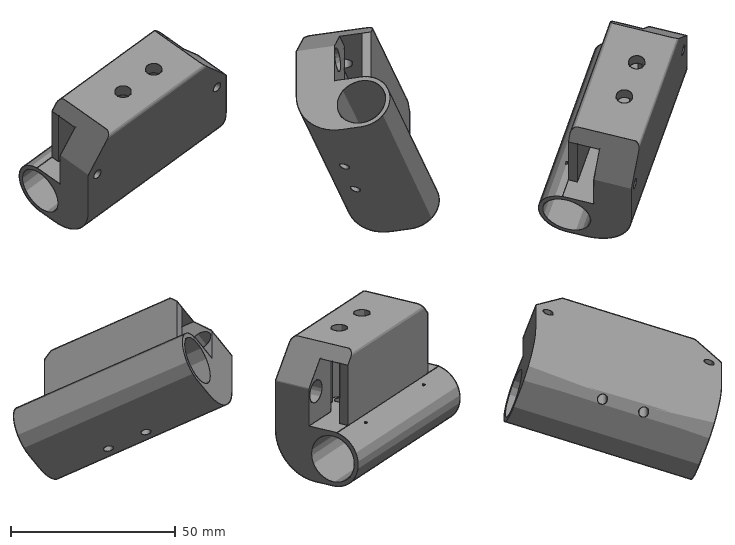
import cadquery as cq
import math

length = 60.0
width = 29.5
height = 42.0

tube_diameter = 18.0
bore_diameter = 15.2
tube_radius = tube_diameter / 2

block_left = 7.6
belly_radius = 14.2
top_fillet = 2.0

slope_run = 9.9
slope_drop = 11.6
slope_fillet = 1.1

wall_thickness = 2.9
slot_left = block_left + wall_thickness
slot_right = width - 12.0
slot_floor = tube_diameter
slot_ceiling = 38.0
slot_height = slot_ceiling - slot_floor

wall_setback = slope_run * (1 - (height - slot_ceiling) / slope_drop)

pocket_mouth_half = 18.1
pocket_mouth_radius = 3.5

top_hole_x = 20.0
top_hole_ys = (8.15, -5.15)
top_hole_diameter = 3.0
top_counterbore_diameter = 5.0
top_counterbore_depth = height - slot_floor

side_hole_inset = 4.0
side_hole_z = 28.0
side_hole_diameter = 3.2
side_counterbore_diameter = 7.2
side_counterbore_depth = 9.0

recess_x = 5.0
recess_y = 17.0
recess_floor = 17.0
recess_diameter = 1.0


def box_between(x_range, y_range, z_range):
    """Axis-aligned box spanning the given coordinate ranges."""
    sizes = [high - low for low, high in (x_range, y_range, z_range)]
    corner = (x_range[0], y_range[0], z_range[0])
    return cq.Workplane("XY").box(*sizes, centered=False).translate(corner)


def cylinder_from(start, direction, diameter, depth):
    """Cylinder that begins at a point and runs along a direction."""
    return cq.Workplane(
        cq.Solid.makeCylinder(diameter / 2, depth, cq.Vector(*start), cq.Vector(*direction))
    )


def counterbored_hole(start, direction, hole, counterbore, counterbore_depth, full_depth):
    """Cutter made of a wide counterbore and a narrower hole on one axis."""
    wide = cylinder_from(start, direction, counterbore, counterbore_depth)
    narrow = cylinder_from(start, direction, hole, full_depth)
    return wide.union(narrow)


def make_block():
    """Upright block with a rounded belly, rounded top edges and sloped ends."""
    arc_offset = belly_radius * (1 - math.sqrt(0.5))
    profile = (
        cq.Workplane("XZ", origin=(0, length / 2, 0))
        .moveTo(tube_radius, 0)
        .lineTo(width - belly_radius, 0)
        .threePointArc((width - arc_offset, arc_offset), (width, belly_radius))
        .lineTo(width, height)
        .lineTo(block_left, height)
        .lineTo(block_left, tube_radius)
        .lineTo(tube_radius, tube_radius)
        .close()
        .extrude(length)
    )
    rounded = profile.edges("|Y and >Z").fillet(top_fillet)

    end = length / 2
    end_profile = (
        cq.Workplane("YZ")
        .polyline([
            (-end, 0),
            (end, 0),
            (end, height - slope_drop),
            (end - slope_run, height),
            (slope_run - end, height),
            (-end, height - slope_drop),
        ])
        .close()
        .extrude(width)
    )
    slope_feet = "(|X and (<Y or >Y)) and (not <Z)"
    end_profile = end_profile.edges(slope_feet).fillet(slope_fillet)
    return rounded.intersect(end_profile)


def make_tube():
    """Solid outer cylinder of the tube over the full length."""
    return cylinder_from((tube_radius, -length / 2, tube_radius), (0, 1, 0), tube_diameter, length)


def make_pocket():
    """Pocket cutter whose two mouth corners flare out tangent to the slot wall."""
    back_x = slot_right + pocket_mouth_radius
    back_half = pocket_mouth_half - pocket_mouth_radius
    arc_x = slot_right + pocket_mouth_radius * (1 - math.sqrt(0.5))
    arc_half = pocket_mouth_half - pocket_mouth_radius * math.sqrt(0.5)
    return (
        cq.Workplane("XY", origin=(0, 0, slot_floor))
        .moveTo(slot_right, -pocket_mouth_half)
        .threePointArc((arc_x, -arc_half), (back_x, -back_half))
        .lineTo(back_x, back_half)
        .threePointArc((arc_x, arc_half), (slot_right, pocket_mouth_half))
        .close()
        .extrude(slot_height)
    )


body = make_tube().union(make_block())
body = body.cut(
    cylinder_from((tube_radius, -length / 2, tube_radius), (0, 1, 0), bore_diameter, length)
)

end_y = length / 2
slot_z = (slot_floor, slot_ceiling)
body = body.cut(box_between((slot_left, slot_right), (-end_y, end_y), slot_z))
for end_range in ((-end_y, wall_setback - end_y), (end_y - wall_setback, end_y)):
    body = body.cut(box_between((block_left, slot_right), end_range, slot_z))
body = body.cut(make_pocket())

for y in top_hole_ys:
    body = body.cut(
        counterbored_hole(
            (top_hole_x, y, height), (0, 0, -1),
            top_hole_diameter, top_counterbore_diameter, top_counterbore_depth, height,
        )
    )

for side in (-1, 1):
    body = body.cut(
        counterbored_hole(
            (slot_right, side * (end_y - side_hole_inset), side_hole_z), (1, 0, 0),
            side_hole_diameter, side_counterbore_diameter, side_counterbore_depth, width - slot_right,
        )
    )
    body = body.cut(
        cylinder_from((recess_x, side * recess_y, recess_floor), (0, 0, 1), recess_diameter, tube_radius)
    )

result = body